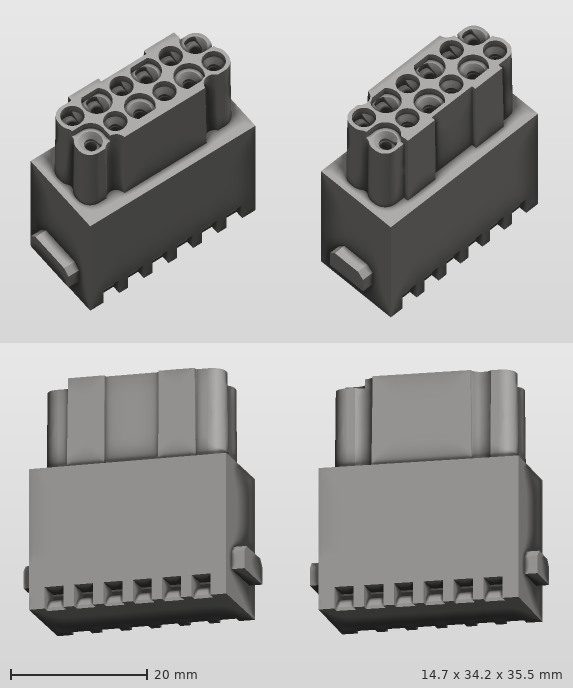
import cadquery as cq
import math


TOTAL_HEIGHT = 35.5
BODY_WIDTH = 14.65
BODY_LENGTH = 30.3
BODY_HEIGHT = 21.52

TAB_REACH = 1.95
TAB_BOTTOM = 4.47
TAB_TOP = 8.15
TAB_CHAMFER_HEIGHT = 1.0
TAB_CHAMFER_WIDTH = 1.05
FRONT_TAB_WIDTH = 9.15
BACK_TAB_WIDTH = 7.0

PITCH = 4.5
ROWS = 6
COLUMN_X = PITCH / 2
ROW_YS = [(row - (ROWS - 1) / 2) * PITCH for row in range(ROWS)]
LAST_ROW_Y = max(ROW_YS)

PLUG_HEIGHT = TOTAL_HEIGHT - BODY_HEIGHT
PLUG_HALF_WIDTH = 5.55
PLUG_DRAFT_INSET = 0.16
SHOULDER_HALF_LENGTH = 9.87
POST_HALF_WIDTH = 4.72
POST_END_Y = 13.78
POST_RADIUS = 2.2
POST_FLAT = 0.55
VALLEY_HALF_WIDTH = 0.65
RELIEF_RADIUS = 1.45
RELIEF_X = PLUG_HALF_WIDTH
RELIEF_Y = 2 * PITCH
SIDE_RECESS_X = 4.7
SIDE_RECESS_LENGTH = 8.3

LIP_DIAMETER = 3.6
LIP_RADIUS = LIP_DIAMETER / 2
COUNTERBORE_DIAMETER = 4.65
COUNTERBORE_RADIUS = COUNTERBORE_DIAMETER / 2
COUNTERBORE_DEPTH = 1.4
RELIEF_WALL = 0.45
CORNER_CUT_INNER_REACH = 1.5
FUNNEL_BOTTOM_RADIUS = 1.0
NOTCH_WIDTH = 2.02
NOTCH_DEPTH = 1.15
BORE_DIAMETER = 1.75
BORE_RADIUS = BORE_DIAMETER / 2
BORE_DEPTH = 7.1
BORE_MOUTH_ROUND = 0.43
BORE_TIP_ANGLE = 118.0
SEAT_Z = TOTAL_HEIGHT - COUNTERBORE_DEPTH
CONTACT_Z = SEAT_Z - NOTCH_DEPTH

SLOT_WIDTH = 2.9
SLOT_HEIGHT = 3.25
SLOT_SILL_DEPTH = 1.42
SLOT_SILL_HEIGHT = 0.55
SLOT_TIP_DEPTH = 4.75
SLOT_TIP_HEIGHT = 2.45
SLOT_BACK_DEPTH = 4.33
SLOT_BACK_HEIGHT = 3.0
SLOT_RAMP_BULGE = 0.43


def box(x_min, x_max, y_min, y_max, z_min, z_max):
    """A block given by its limits along each axis."""
    size = (x_max - x_min, y_max - y_min, z_max - z_min)
    return cq.Workplane("XY").box(*size, centered=False).translate((x_min, y_min, z_min))


def cylinder(x, y, radius, z_min, z_max):
    """An upright cylinder."""
    return cq.Workplane("XY", origin=(x, y, z_min)).circle(radius).extrude(z_max - z_min)


def latch_tab(width, end):
    """A latch tab with chamfered upper corners; end is -1 for -Y or +1 for +Y."""
    half = width / 2
    profile = [
        (-half, TAB_BOTTOM),
        (half, TAB_BOTTOM),
        (half, TAB_TOP - TAB_CHAMFER_HEIGHT),
        (half - TAB_CHAMFER_WIDTH, TAB_TOP),
        (-half + TAB_CHAMFER_WIDTH, TAB_TOP),
        (-half, TAB_TOP - TAB_CHAMFER_HEIGHT),
    ]
    plane = cq.Workplane("XZ", origin=(0, end * BODY_LENGTH / 2, 0))
    return plane.polyline(profile).close().extrude(-end * TAB_REACH)


def add_post_end(outline, x_sign, y_sign):
    """Trace both corner posts of one end, from the post at x_sign across to the other."""
    arc_y = POST_END_Y - POST_RADIUS
    outer_x = POST_HALF_WIDTH - POST_RADIUS
    inner_x = outer_x - POST_FLAT
    diagonal = POST_RADIUS * math.sqrt(0.5)
    valley_angle = math.asin((inner_x - VALLEY_HALF_WIDTH) / POST_RADIUS)
    half_angle = valley_angle / 2
    valley_y = arc_y + POST_RADIUS * math.cos(valley_angle)
    valley_radius = VALLEY_HALF_WIDTH / math.sin(valley_angle)
    valley_floor_y = valley_y - valley_radius * (1 - math.cos(valley_angle))
    shoulder_mid = (
        inner_x - POST_RADIUS * math.sin(half_angle),
        arc_y + POST_RADIUS * math.cos(half_angle),
    )

    def first(x, y):
        return x_sign * x, y_sign * y

    def second(x, y):
        return -x_sign * x, y_sign * y

    return (
        outline.lineTo(*first(POST_HALF_WIDTH, arc_y))
        .threePointArc(first(outer_x + diagonal, arc_y + diagonal), first(outer_x, POST_END_Y))
        .lineTo(*first(inner_x, POST_END_Y))
        .threePointArc(first(*shoulder_mid), first(VALLEY_HALF_WIDTH, valley_y))
        .threePointArc((0, y_sign * valley_floor_y), second(VALLEY_HALF_WIDTH, valley_y))
        .threePointArc(second(*shoulder_mid), second(inner_x, POST_END_Y))
        .lineTo(*second(outer_x, POST_END_Y))
        .threePointArc(second(outer_x + diagonal, arc_y + diagonal), second(POST_HALF_WIDTH, arc_y))
    )


def plug_blank():
    """The drafted plug, with a relief groove by each +X post and a flat recess on the -X side."""
    relief_inset = RELIEF_X - POST_HALF_WIDTH
    relief_top = RELIEF_Y + math.sqrt(RELIEF_RADIUS**2 - relief_inset**2)
    relief_bottom = RELIEF_Y - RELIEF_RADIUS
    relief_mid_x = RELIEF_X - RELIEF_RADIUS

    outline = cq.Workplane("XY", origin=(0, 0, BODY_HEIGHT)).moveTo(PLUG_HALF_WIDTH, -relief_bottom)
    outline = outline.lineTo(PLUG_HALF_WIDTH, relief_bottom)
    outline = outline.threePointArc((relief_mid_x, RELIEF_Y), (POST_HALF_WIDTH, relief_top))
    outline = add_post_end(outline, 1, 1)
    outline = outline.lineTo(-POST_HALF_WIDTH, SHOULDER_HALF_LENGTH)
    outline = outline.lineTo(-PLUG_HALF_WIDTH, SHOULDER_HALF_LENGTH)
    outline = outline.lineTo(-PLUG_HALF_WIDTH, -SHOULDER_HALF_LENGTH)
    outline = outline.lineTo(-POST_HALF_WIDTH, -SHOULDER_HALF_LENGTH)
    outline = add_post_end(outline, -1, -1)
    outline = outline.lineTo(POST_HALF_WIDTH, -relief_top)
    outline = outline.threePointArc((relief_mid_x, -RELIEF_Y), (PLUG_HALF_WIDTH, -relief_bottom))

    draft_angle = math.degrees(math.atan(PLUG_DRAFT_INSET / PLUG_HEIGHT))
    blank = outline.close().extrude(PLUG_HEIGHT, taper=draft_angle)
    half_recess = SIDE_RECESS_LENGTH / 2
    recess = box(
        -BODY_WIDTH / 2, -SIDE_RECESS_X, -half_recess, half_recess, BODY_HEIGHT, TOTAL_HEIGHT
    )
    return blank.cut(recess)


def contact_opening(x, y):
    """Lip, funnel, release notch and rounded blind bore of one contact."""
    side = math.copysign(1, x)
    lip = cylinder(x, y, LIP_RADIUS, SEAT_Z, TOTAL_HEIGHT)

    funnel_depth = LIP_RADIUS - FUNNEL_BOTTOM_RADIUS
    funnel = (
        cq.Workplane("XZ")
        .polyline(
            [
                (0, SEAT_Z),
                (LIP_RADIUS, SEAT_Z),
                (FUNNEL_BOTTOM_RADIUS, SEAT_Z - funnel_depth),
                (FUNNEL_BOTTOM_RADIUS, CONTACT_Z),
                (0, CONTACT_Z),
            ]
        )
        .close()
        .revolve(360, (0, 0, 0), (0, 1, 0))
        .translate((x, y, 0))
    )

    near_x, far_x = sorted((x, x + side * LIP_RADIUS))
    half_notch = NOTCH_WIDTH / 2
    window = box(near_x, far_x, y - half_notch, y + half_notch, CONTACT_Z - BORE_MOUTH_ROUND, SEAT_Z)
    notch = window.intersect(cylinder(x, y, LIP_RADIUS, CONTACT_Z, SEAT_Z))

    mouth_round = BORE_MOUTH_ROUND
    rounding = mouth_round * (1 - math.sqrt(0.5))
    mouth = (
        cq.Workplane("XZ")
        .moveTo(0, CONTACT_Z)
        .lineTo(BORE_RADIUS + mouth_round, CONTACT_Z)
        .threePointArc(
            (BORE_RADIUS + rounding, CONTACT_Z - rounding),
            (BORE_RADIUS, CONTACT_Z - mouth_round),
        )
        .lineTo(0, CONTACT_Z - mouth_round)
        .close()
        .revolve(360, (0, 0, 0), (0, 1, 0))
        .translate((x, y, 0))
    )
    throat = cylinder(x, y, FUNNEL_BOTTOM_RADIUS, CONTACT_Z - mouth_round, CONTACT_Z)
    mouth = mouth.intersect(throat.union(window))

    bore_bottom = CONTACT_Z - BORE_DEPTH
    tip_depth = BORE_RADIUS / math.tan(math.radians(BORE_TIP_ANGLE / 2))
    bore = (
        cq.Workplane("XZ")
        .polyline(
            [
                (0, CONTACT_Z - mouth_round),
                (BORE_RADIUS, CONTACT_Z - mouth_round),
                (BORE_RADIUS, bore_bottom),
                (0, bore_bottom - tip_depth),
            ]
        )
        .close()
        .revolve(360, (0, 0, 0), (0, 1, 0))
        .translate((x, y, 0))
    )
    return [lip, funnel, notch, mouth, bore]


def counterbore(x, y):
    """A wide recess around a lip, flat on its outward side and clear of the relief grooves."""
    side = math.copysign(1, x)
    recess = cylinder(x, y, COUNTERBORE_RADIUS, SEAT_Z, TOTAL_HEIGHT)
    near_x, far_x = sorted((x - side * COUNTERBORE_RADIUS, x + side * LIP_RADIUS))
    clip = box(near_x, far_x, y - PITCH, y + PITCH, SEAT_Z, TOTAL_HEIGHT)
    recess = recess.intersect(clip)
    for relief_y in (-RELIEF_Y, RELIEF_Y):
        wall = cylinder(RELIEF_X, relief_y, RELIEF_RADIUS + RELIEF_WALL, SEAT_Z, TOTAL_HEIGHT)
        recess = recess.cut(wall)
    return recess


def corner_cut(x, y, inner_reach):
    """Lower a whole corner post to the lip level; inner_reach runs from its row toward the middle."""
    x_side = math.copysign(1, x)
    y_side = math.copysign(1, y)
    outer_x = x_side * PLUG_HALF_WIDTH
    outer_y = y_side * BODY_LENGTH / 2
    x_span = sorted((x - x_side * COUNTERBORE_RADIUS, outer_x))
    end_block = box(*x_span, *sorted((y, outer_y)), SEAT_Z, TOTAL_HEIGHT)
    side_block = box(
        *sorted((x, outer_x)), *sorted((y - y_side * inner_reach, outer_y)), SEAT_Z, TOTAL_HEIGHT
    )
    ring = cylinder(x, y, COUNTERBORE_RADIUS, SEAT_Z, TOTAL_HEIGHT)
    return ring.union(end_block).union(side_block)


def release_slots():
    """One row of slots opening on the -X face and the underside, each with a domed ramp."""
    face_x = -BODY_WIDTH / 2
    profile = (
        cq.Workplane("XZ", origin=(face_x, SLOT_WIDTH / 2, 0))
        .lineTo(SLOT_SILL_DEPTH, 0)
        .lineTo(SLOT_SILL_DEPTH, SLOT_SILL_HEIGHT)
        .sagittaArc((SLOT_TIP_DEPTH, SLOT_TIP_HEIGHT), SLOT_RAMP_BULGE)
        .lineTo(SLOT_BACK_DEPTH, SLOT_BACK_HEIGHT)
        .lineTo(SLOT_BACK_DEPTH, SLOT_HEIGHT)
        .lineTo(0, SLOT_HEIGHT)
        .close()
    )
    slot = profile.extrude(SLOT_WIDTH)
    slots = cq.Workplane("XY")
    for y in ROW_YS:
        slots = slots.add(slot.translate((0, y, 0)))
    return slots.combine()


part = box(-BODY_WIDTH / 2, BODY_WIDTH / 2, -BODY_LENGTH / 2, BODY_LENGTH / 2, 0, BODY_HEIGHT)
part = part.union(latch_tab(FRONT_TAB_WIDTH, -1))
part = part.union(latch_tab(BACK_TAB_WIDTH, 1))

slots = release_slots()
part = part.cut(slots)
part = part.cut(slots.mirror("YZ"))

part = part.union(plug_blank())
for row, y in enumerate(ROW_YS):
    wide_x = COLUMN_X if row % 2 == 0 else -COLUMN_X
    if abs(y) < LAST_ROW_Y:
        part = part.cut(counterbore(wide_x, y))
    for x in (-COLUMN_X, COLUMN_X):
        for cutter in contact_opening(x, y):
            part = part.cut(cutter)
part = part.cut(corner_cut(-COLUMN_X, LAST_ROW_Y, CORNER_CUT_INNER_REACH))
part = part.cut(corner_cut(COLUMN_X, -LAST_ROW_Y, COUNTERBORE_RADIUS))

result = part